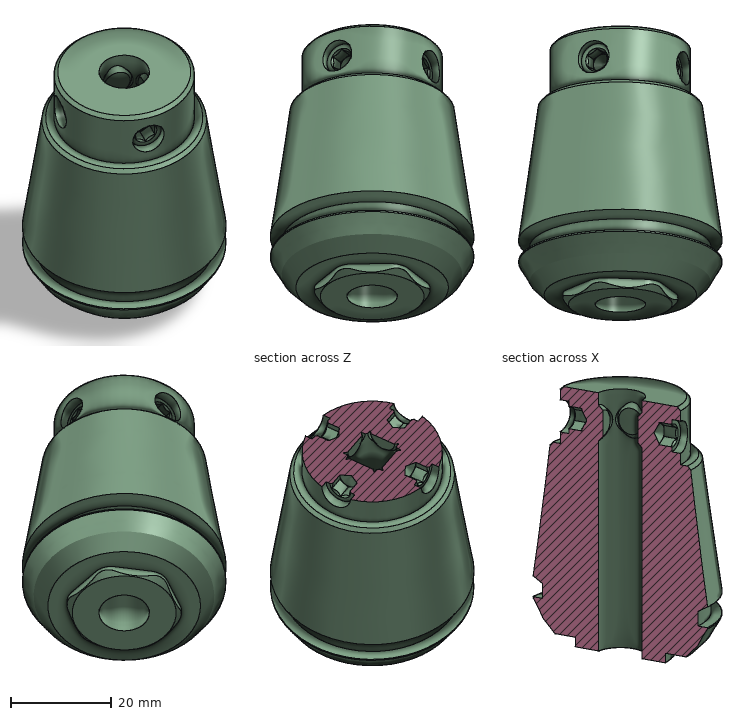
import cadquery as cq
import math

height = 54.0
bore_diameter = 10.0
neck_diameter = 28.0
neck_bottom_z = 42.0
edge_chamfer = 0.75
shoulder_diameter = 32.8
skirt_diameter = 40.64
skirt_bottom_z = 13.3
groove_diameter = 36.2
groove_top_z = 12.0
groove_bottom_z = 9.0
flange_diameter = 40.55
flange_rim_z = 8.7
nose_diameter = 36.0
nose_z = 4.8
base_diameter = 30.4
base_z = 2.0

foot_across_flats = 21.0
foot_corner_radius = 4.0
foot_bottom_diameter = 20.7

screw_count = 4
screw_diameter = 8.0
screw_hole_diameter = 6.65
screw_length = 8.0
screw_tip_radius = 4.0
screw_tip_diameter = 5.5
screw_z = 47.7
socket_across_flats = 4.0
socket_mouth_diameter = 4.8
socket_depth = 3.0


def make_body():
    """Turned body: neck, tapered skirt, groove and bevelled flange."""
    neck_radius = neck_diameter / 2
    shoulder_radius = shoulder_diameter / 2
    return (
        cq.Workplane("XZ")
        .moveTo(0, height)
        .lineTo(neck_radius - edge_chamfer, height)
        .lineTo(neck_radius, height - edge_chamfer)
        .lineTo(neck_radius, neck_bottom_z)
        .lineTo(shoulder_radius - edge_chamfer, neck_bottom_z)
        .lineTo(shoulder_radius, neck_bottom_z - edge_chamfer)
        .lineTo(skirt_diameter / 2, skirt_bottom_z)
        .lineTo(groove_diameter / 2, groove_top_z)
        .lineTo(groove_diameter / 2, groove_bottom_z)
        .lineTo(flange_diameter / 2, groove_bottom_z)
        .lineTo(flange_diameter / 2, flange_rim_z)
        .lineTo(nose_diameter / 2, nose_z)
        .lineTo(base_diameter / 2, base_z)
        .lineTo(0, base_z)
        .close()
        .revolve(360, (0, 0, 0), (0, 1, 0))
    )


def make_foot():
    """Rounded hexagon with corners on the X axis, trimmed by a 45 degree cone."""
    corner_diameter = foot_across_flats / math.cos(math.pi / 6)
    hexagon = (
        cq.Workplane("XY")
        .polygon(6, corner_diameter)
        .extrude(base_z)
        .edges("|Z")
        .fillet(foot_corner_radius)
    )
    bottom_radius = foot_bottom_diameter / 2
    bevel = (
        cq.Workplane("XZ")
        .lineTo(bottom_radius, 0)
        .lineTo(bottom_radius + base_z, base_z)
        .lineTo(0, base_z)
        .close()
        .revolve(360, (0, 0, 0), (0, 1, 0))
    )
    return hexagon.intersect(bevel)


def make_screw_hole(start_x):
    """Threaded hole along +X, plain at its core diameter, from start_x out past the neck."""
    return (
        cq.Workplane("YZ", origin=(start_x, 0, screw_z))
        .circle(screw_hole_diameter / 2)
        .extrude(neck_diameter)
    )


def make_screw_shank():
    """Plain set screw shank along +X with a 45 degree bevel around its flat tip."""
    tip_bevel = (screw_diameter - screw_tip_diameter) / 2
    return (
        cq.Workplane("YZ", origin=(screw_tip_radius, 0, screw_z))
        .circle(screw_diameter / 2)
        .extrude(screw_length)
        .faces("<X")
        .chamfer(tip_bevel)
    )


def make_inward_cone(base_radius, depth, base_x):
    """Cone with its base at base_x and its apex toward the part axis."""
    base_center = cq.Vector(base_x, 0, screw_z)
    return cq.Solid.makeCone(base_radius, 0, depth, pnt=base_center, dir=cq.Vector(-1, 0, 0))


def make_screw_recess():
    """Open space at the outer end of the screw, with its countersunk and drilled hex socket."""
    outer_end = screw_tip_radius + screw_length
    socket_floor = outer_end - socket_depth

    socket_corner_diameter = socket_across_flats / math.cos(math.pi / 6)
    socket = (
        cq.Workplane("YZ", origin=(socket_floor, 0, screw_z))
        .transformed(rotate=(0, 0, 90))
        .polygon(6, socket_corner_diameter)
        .extrude(socket_depth)
    )

    drill_radius = socket_across_flats / 2
    drill_point = make_inward_cone(drill_radius, drill_radius / math.sqrt(3), socket_floor)
    mouth_radius = socket_mouth_diameter / 2
    countersink = make_inward_cone(mouth_radius, mouth_radius, outer_end)
    return make_screw_hole(outer_end).union(socket).union(drill_point).union(countersink)


def add_set_screws(body):
    """Drill the radial holes evenly around the Z axis and fuse a set screw into each."""
    for index in range(screw_count):
        angle = index * 360 / screw_count
        hole, shank, recess = [
            shape.rotate((0, 0, 0), (0, 0, 1), angle)
            for shape in (make_screw_hole(0), make_screw_shank(), make_screw_recess())
        ]
        body = body.cut(hole).union(shank).cut(recess)
    return body


bore = cq.Workplane("XY").circle(bore_diameter / 2).extrude(height)
turned_part = make_body().union(make_foot()).cut(bore)
result = add_set_screws(turned_part)